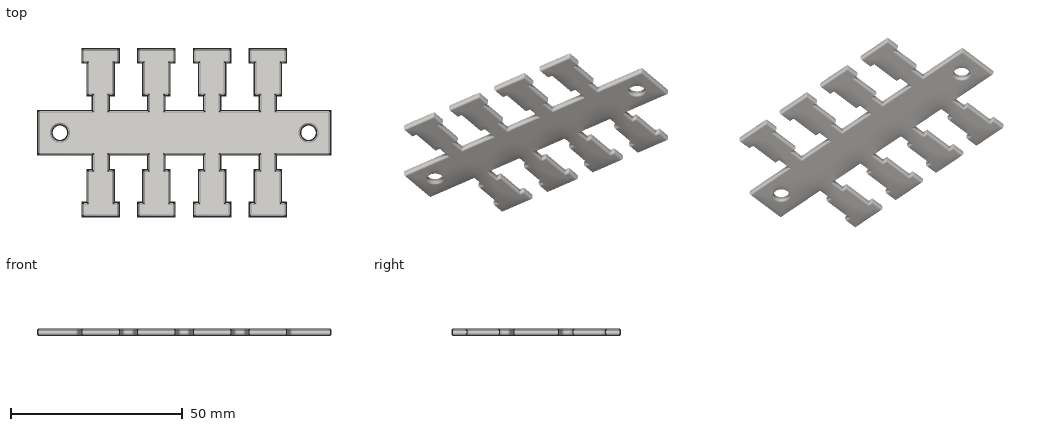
import cadquery as cq

bar_length = 85.3
overall_width = 49.0
thickness = 2.0
edge_fillet = 0.5

bar_width = 13.05
hole_spacing = 72.3
hole_diameter = 4.5

tabs_per_side = 4
tab_pitch = 16.2
neck_width = 5.0
body_width = 8.0
head_width = 10.9
head_length = 4.3
body_length = 9.5

tab_end = overall_width / 2
head_start = tab_end - head_length
body_start = head_start - body_length


def tab_section(width, inner_y, outer_y, side):
    """One constant-width stretch of a tab; side is +1 or -1 along Y."""
    return cq.Workplane("XY").box(width, outer_y - inner_y, thickness).translate(
        (0, side * (inner_y + outer_y) / 2, 0)
    )


def tab(side):
    """Neck, wider body and widest head, starting at the bar's centre line."""
    neck = tab_section(neck_width, 0, body_start, side)
    body = tab_section(body_width, body_start, head_start, side)
    head = tab_section(head_width, head_start, tab_end, side)
    return neck.union(body).union(head)


plate = cq.Workplane("XY").box(bar_length, bar_width, thickness)
for index in range(tabs_per_side):
    tab_x = (index - (tabs_per_side - 1) / 2) * tab_pitch
    for side in (1, -1):
        plate = plate.union(tab(side).translate((tab_x, 0, 0)))
plate = plate.clean()

hole_centers = [(-hole_spacing / 2, 0), (hole_spacing / 2, 0)]
plate = plate.faces(">Z").workplane(origin=(0, 0, 0)).pushPoints(hole_centers).hole(hole_diameter)

result = plate.faces("|Z").edges().fillet(edge_fillet)